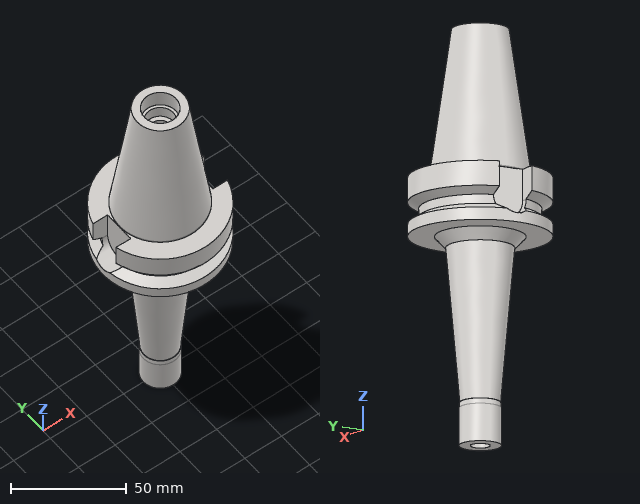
import cadquery as cq

TOTAL_LENGTH = 185.4
NUT_LENGTH = 19.1
NUT_RIM_HEIGHT = 2.5
NECK_TOP = 88.0
FLANGE_BOTTOM = 93.0
FLANGE_TOP = 119.4
COLLAR_HEIGHT = 0.5

FLANGE_RADIUS = 31.5
SHANK_LARGE_RADIUS = 22.2
SHANK_SMALL_RADIUS = 12.6
NECK_LARGE_RADIUS = 15.0
NECK_SMALL_RADIUS = 8.9
ROOT_RADIUS = 19.8
NUT_RADIUS = 9.3
NUT_RIM_RADIUS = 9.0

GROOVE_RADIUS = 26.7
GROOVE_BOTTOM = 101.5
GROOVE_TOP = 105.5
GROOVE_SLOPE = 0.58

SLOT_WIDTH = 16.3
SLOT_FLOOR_X = 22.5
SLOT_BOTTOM = 97.1

THREAD_BORE_RADIUS = 8.5
THREAD_BORE_DEPTH = 8.7
MIDDLE_BORE_RADIUS = 7.0
MIDDLE_BORE_DEPTH = 14.8
THROUGH_BORE_RADIUS = 4.8
NUT_BORE_RADIUS = 4.3


def make_holder_blank():
    """Revolved tapered shank, grooved flange and neck."""
    lower_edge = GROOVE_BOTTOM - (FLANGE_RADIUS - GROOVE_RADIUS) * GROOVE_SLOPE
    upper_edge = GROOVE_TOP + (FLANGE_RADIUS - GROOVE_RADIUS) * GROOVE_SLOPE
    return (
        cq.Workplane("XZ")
        .moveTo(0, NUT_LENGTH)
        .lineTo(NECK_SMALL_RADIUS, NUT_LENGTH)
        .lineTo(NECK_LARGE_RADIUS, NECK_TOP)
        .lineTo(ROOT_RADIUS, FLANGE_BOTTOM)
        .lineTo(FLANGE_RADIUS, FLANGE_BOTTOM)
        .lineTo(FLANGE_RADIUS, lower_edge)
        .lineTo(GROOVE_RADIUS, GROOVE_BOTTOM)
        .lineTo(GROOVE_RADIUS, GROOVE_TOP)
        .lineTo(FLANGE_RADIUS, upper_edge)
        .lineTo(FLANGE_RADIUS, FLANGE_TOP)
        .lineTo(SHANK_LARGE_RADIUS, FLANGE_TOP)
        .lineTo(SHANK_LARGE_RADIUS, FLANGE_TOP + COLLAR_HEIGHT)
        .lineTo(SHANK_SMALL_RADIUS, TOTAL_LENGTH)
        .lineTo(0, TOTAL_LENGTH)
        .close()
        .revolve(360, (0, 0), (0, 1))
    )


def make_drive_slot(side):
    """Cutter for one round-ended slot, open at the top; side is -1 or 1."""
    end_radius = SLOT_WIDTH / 2
    arc_centre = SLOT_BOTTOM + end_radius
    return (
        cq.Workplane("YZ", origin=(side * SLOT_FLOOR_X, 0, 0))
        .moveTo(-end_radius, FLANGE_TOP)
        .lineTo(-end_radius, arc_centre)
        .threePointArc((0, SLOT_BOTTOM), (end_radius, arc_centre))
        .lineTo(end_radius, FLANGE_TOP)
        .close()
        .extrude(side * FLANGE_RADIUS)
    )


def make_stepped_bore():
    """Cutter for the axial bore, stepping down from the shank end."""
    thread_floor = TOTAL_LENGTH - THREAD_BORE_DEPTH
    middle_floor = TOTAL_LENGTH - MIDDLE_BORE_DEPTH
    return (
        cq.Workplane("XZ")
        .moveTo(0, NUT_LENGTH)
        .lineTo(THROUGH_BORE_RADIUS, NUT_LENGTH)
        .lineTo(THROUGH_BORE_RADIUS, middle_floor)
        .lineTo(MIDDLE_BORE_RADIUS, middle_floor)
        .lineTo(MIDDLE_BORE_RADIUS, thread_floor)
        .lineTo(THREAD_BORE_RADIUS, thread_floor)
        .lineTo(THREAD_BORE_RADIUS, TOTAL_LENGTH)
        .lineTo(0, TOTAL_LENGTH)
        .close()
        .revolve(360, (0, 0), (0, 1))
    )


def make_holder():
    holder = make_holder_blank().cut(make_stepped_bore())
    for side in (-1, 1):
        holder = holder.cut(make_drive_slot(side))
    return holder


def make_nut():
    """Nose nut seated against the neck, slightly tapered at its upper rim."""
    return (
        cq.Workplane("XZ")
        .moveTo(NUT_BORE_RADIUS, 0)
        .lineTo(NUT_RADIUS, 0)
        .lineTo(NUT_RADIUS, NUT_LENGTH - NUT_RIM_HEIGHT)
        .lineTo(NUT_RIM_RADIUS, NUT_LENGTH)
        .lineTo(NUT_BORE_RADIUS, NUT_LENGTH)
        .close()
        .revolve(360, (0, 0), (0, 1))
    )


holder = make_holder()
nut = make_nut()
result = cq.Compound.makeCompound([holder.val(), nut.val()])